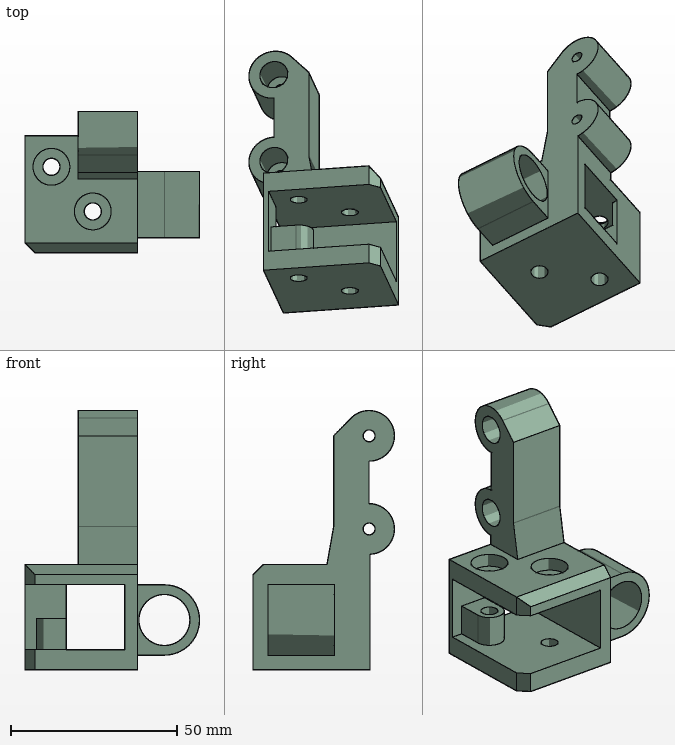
import cadquery as cq
import math

body_width = 33.9
body_depth = 35.25
body_height = 31.7
base_thickness = 6.1
cavity_height = 19.5
side_wall = 3.9
back_wall = 1.6
back_wall_width = 12.5
corner_chamfer = 3.05

boss_diameter = 9.0
boss_height = 9.35
boss_radius = boss_diameter / 2
rear_screw = (back_wall_width - boss_radius, 25.9)
front_screw = (20.4, 12.5)
screw_diameter = 5.1
head_diameter = 11.1
head_depth = 4.0

arm_width = 17.9
arm_front = 24.25
arm_foot_front = 22.2
taper_top = 43.1
total_height = 78.0
eye_radius = 7.65
eye_y = 34.95
eye_spacing = 28.0
upper_eye_z = total_height - eye_radius
lower_eye_z = upper_eye_z - eye_spacing
pin_diameter = 3.5
pin_head_diameter = 8.5
pin_head_depth = 12.0

ring_radius = 10.6
ring_bore = 15.3
ring_reach = 52.6
ring_front = 4.5
ring_length = 20.0
ring_x = ring_reach - ring_radius
cavity_top = base_thickness + cavity_height
ring_z = cavity_top - ring_radius


def box(x_start, y_start, z_start, width, depth, height):
    """Box placed by its left, front, bottom corner."""
    block = cq.Workplane("XY").box(width, depth, height, centered=False)
    return block.translate((x_start, y_start, z_start))


def cylinder_up(center, z_start, diameter, height):
    """Vertical cylinder standing at height z_start."""
    return cq.Workplane("XY", origin=(*center, z_start)).circle(diameter / 2).extrude(height)


def cylinder_along_x(x_start, z_center, diameter, length):
    """Cylinder parallel to X on a hinge eye's axis."""
    plane = cq.Workplane("YZ", origin=(x_start, eye_y, z_center))
    return plane.circle(diameter / 2).extrude(length)


def make_body():
    """Block open to the front and left, with a window through its back wall."""
    body = box(0, 0, 0, body_width, body_depth, body_height)
    body = body.edges("|Z and <X and <Y").chamfer(corner_chamfer)
    body = body.faces(">Z").edges("<Y").chamfer(corner_chamfer)
    inner_width = body_width - side_wall
    cavity = box(0, 0, base_thickness, inner_width, body_depth - back_wall, cavity_height)
    window_width = inner_width - back_wall_width
    window = box(back_wall_width, 0, base_thickness, window_width, body_depth, cavity_height)
    return body.cut(cavity).cut(window)


def make_boss():
    """Round-nosed screw boss on the cavity floor, joined to the back wall."""
    x, y = rear_screw
    nose = cylinder_up(rear_screw, base_thickness, boss_diameter, boss_height)
    web = box(x - boss_radius, y, base_thickness, boss_diameter, body_depth - y, boss_height)
    return nose.union(web)


def make_arm():
    """Tapered upright whose top bevel is tangent to the upper eye."""
    arm_left = body_width - arm_width
    tangent_angle = math.acos(eye_radius / (eye_y - arm_front))
    tangent_y = eye_y - eye_radius * math.cos(tangent_angle)
    tangent_z = upper_eye_z + eye_radius * math.sin(tangent_angle)
    arm = (
        cq.Workplane("YZ", origin=(arm_left, 0, 0))
        .moveTo(arm_foot_front, body_height)
        .lineTo(arm_front, taper_top)
        .lineTo(arm_front, upper_eye_z)
        .lineTo(tangent_y, tangent_z)
        .lineTo(eye_y, upper_eye_z)
        .lineTo(eye_y, lower_eye_z)
        .lineTo(body_depth, lower_eye_z)
        .lineTo(body_depth, body_height)
        .close()
        .extrude(arm_width)
    )
    eye_heights = (lower_eye_z, upper_eye_z)
    for z in eye_heights:
        arm = arm.union(cylinder_along_x(arm_left, z, 2 * eye_radius, arm_width))
    for z in eye_heights:
        arm = arm.cut(cylinder_along_x(arm_left, z, pin_diameter, arm_width))
        arm = arm.cut(cylinder_along_x(arm_left, z, pin_head_diameter, pin_head_depth))
    return arm


def make_ring():
    """D-shaped tube holder with its bore parallel to Y."""
    plane = cq.Workplane("XZ", origin=(ring_x, ring_front + ring_length, ring_z))
    ring = plane.circle(ring_radius).extrude(ring_length)
    web = box(
        body_width, ring_front, ring_z - ring_radius, ring_x - body_width, ring_length, 2 * ring_radius
    )
    bore = plane.circle(ring_bore / 2).extrude(ring_length)
    outside = box(body_width, 0, 0, ring_reach - body_width, body_depth, body_height)
    return ring.union(web).cut(bore).intersect(outside)


result = make_body().union(make_boss()).union(make_arm()).union(make_ring())

for screw in (rear_screw, front_screw):
    result = result.cut(cylinder_up(screw, 0, screw_diameter, body_height))
    result = result.cut(cylinder_up(screw, body_height - head_depth, head_diameter, head_depth))